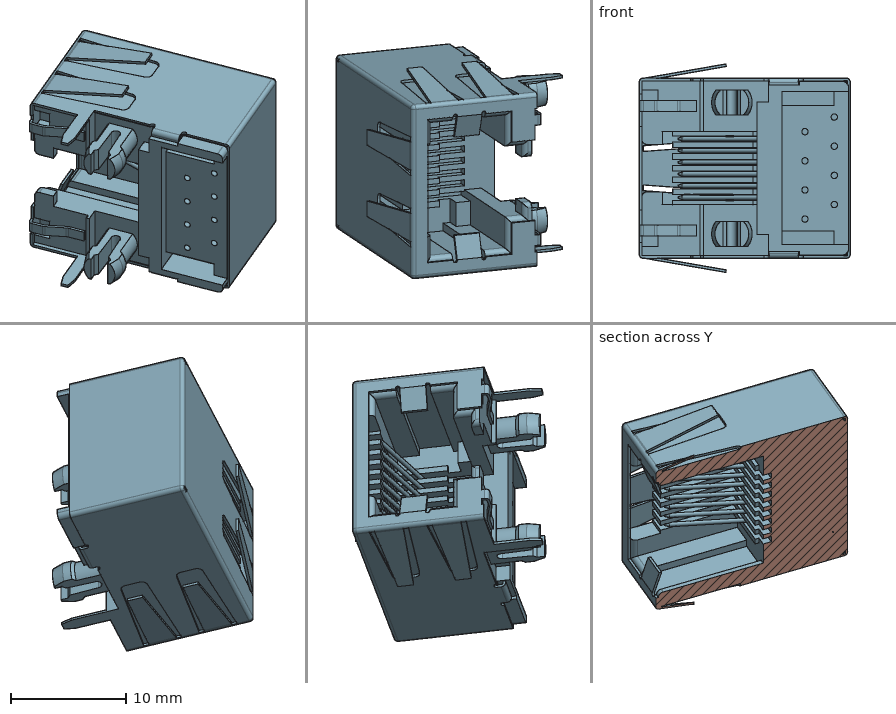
import cadquery as cq
import math


length = 18.36
half_height = 7.84
sheet = 0.24
bend_radius = 0.37
side_floor = -10.55
front_floor = -11.7
post_start = 4.46
post_end = 5.58
post_tip = -15.88
post_taper = 1.01
post_tip_inset = 0.24

wing_bend = 0.45
wing_end = 7.58
wing_rise = 1.23
wing_root_half = 1.27
wing_tip_half = 0.7
window_start = 0.37
window_end = 8.2
window_root_half = 1.75
window_tip_half = 1.18
window_radius = 0.55
wing_y_positions = (-3.21, -8.34)
wing_z_positions = (-3.21, 3.21)

inner_half = half_height - sheet
peg_floor = -10.47
nose_floor = -11.3
rib_start = 5.29
rear_floor = -11.73
rear_start = 10.25
rear_shoulder = 11.24
rear_shoulder_half = 5.75
rear_half = 7.53
rear_end = 18.2
rear_corner = 0.45

mouth_round = 0.45
select_margin = 0.02
cavity_top = -1.95
cavity_bottom = -8.9
cavity_half = 5.99
latch_half = 3.18
latch_bottom = -10.48
lip_half = 2.05
lip_end = 2.02
channel_top = -3.9
channel_bottom = -6.92
channel_half = 6.68

pocket_end = 1.65
pocket_floor = -10.1
pocket_outer = 6.8
spring_outer = 5.9
spring_inner = 4.94

contact_count = 8
contact_span = 7.15
contact_pitch = contact_span / (contact_count - 1)
contact_diameter = 0.4
slot_width = 0.53
comb_start = 2.9
comb_half = 4.17
slot_end = 11.02
contact_start = (3.41, -1.7)
contact_end = (11.38, -4.48)
contact_tip_length = 0.4
contact_tip_inset = 0.13

peg_x = 8.06
peg_z = 5.71
peg_half_width = 1.08
peg_tip = -15.25


def block(x0, x1, y0, y1, z0, z1):
    """Box between two opposite corners."""
    return cq.Workplane("XY").box(x1 - x0, y1 - y0, z1 - z0, centered=False).translate((x0, y0, z0))


def slab(x0, x1, y0, y1, half):
    """Box centred on Z = 0."""
    return block(x0, x1, y0, y1, -half, half)


def pair(shape):
    """The shape together with its mirror image in Z = 0."""
    return shape.union(shape.mirror("XY"))


def mouth_cavity():
    """T-shaped passage for the plug and its latch."""
    upper = [
        (cavity_top, cavity_half),
        (cavity_bottom, cavity_half),
        (cavity_bottom, latch_half),
        (latch_bottom, latch_half),
        (latch_bottom, lip_half),
        (rear_floor, lip_half),
    ]
    lower = [(y, -z) for y, z in reversed(upper)]
    outline = cq.Workplane("YZ").polyline(upper + lower).close()
    return outline.extrude(rear_start - sheet).translate((sheet, 0, 0))


def front_housing():
    """Housing around the mouth and above the pegs."""
    body = slab(sheet, length - sheet, peg_floor, -sheet, inner_half)
    body = body.edges(">X and |Y").fillet(rear_corner)
    body = body.union(slab(sheet, post_end, nose_floor, -sheet, inner_half))
    body = body.cut(mouth_cavity())
    mouth = cq.selectors.BoxSelector(
        (sheet - select_margin, nose_floor + select_margin, -cavity_half - select_margin),
        (sheet + select_margin, cavity_top + select_margin, cavity_half + select_margin),
    )
    body = body.edges(mouth).fillet(mouth_round)

    rib = block(rib_start, post_end, front_floor, peg_floor, latch_half, inner_half)
    body = body.union(pair(rib))
    body = body.cut(slab(lip_end, rear_start, front_floor, latch_bottom, latch_half))
    body = body.cut(slab(sheet, rear_start, channel_bottom, channel_top, channel_half))
    body = body.cut(pair(block(sheet, pocket_end, nose_floor, pocket_floor, spring_inner, pocket_outer)))
    return body


def rear_block():
    """Insert holding the pins, with a stepped front and a recessed board face."""
    body = slab(rear_shoulder, rear_end, rear_floor, peg_floor, rear_half)
    body = body.edges(">X and |Y").fillet(rear_corner)
    body = body.union(slab(rear_start, rear_shoulder, rear_floor, peg_floor, rear_shoulder_half))
    return body


tongue_start = 11.3
tongue_end = 13.85
tongue_seat_half = 7.23
tongue_seat_end = 13.94
recess_start = 12.41
recess_floor = -10.69
recess_half = 6.65
pit_end = 16.95
pit_inner = 5.45
pit_floor = -9.18
hole_diameter = 0.55
hole_depth = 0.73
hole_rows = ((14.41, 3.18), (16.96, 4.45))
hole_spacing = 2.53
holes_per_row = 4


def board_face_cuts():
    """Recess, side pits, pin holes and tongue seats in the rear block."""
    cuts = slab(recess_start, length, rear_floor, recess_floor, recess_half)
    cuts = cuts.union(pair(block(recess_start, pit_end, rear_floor, pit_floor, pit_inner, recess_half)))
    for x, top_z in hole_rows:
        for i in range(holes_per_row):
            hole = cq.Workplane("XZ").circle(hole_diameter / 2).extrude(-hole_depth)
            cuts = cuts.union(hole.translate((x, recess_floor, top_z - i * hole_spacing)))
    seat = block(rear_shoulder, tongue_seat_end, rear_floor, side_floor, tongue_seat_half, half_height)
    return cuts.union(pair(seat))


step_start = 9.88
step_bottom = -6.46
step_half = 4.37
stop_start = 8.81
stop_top = -7.58
stop_inner = 3.84


def rear_steps():
    """Step high on the back wall and two plug stops low in its corners."""
    step = slab(step_start, rear_start, step_bottom, cavity_top, step_half)
    stop = block(stop_start, rear_start, cavity_bottom, stop_top, stop_inner, cavity_half)
    return step.union(pair(stop))


contact_levels = [i * contact_pitch - contact_span / 2 for i in range(contact_count)]


def comb_cuts():
    """Contact slots and the clearance in front of the comb."""
    cuts = slab(sheet, comb_start, cavity_top, -sheet, comb_half)
    for z in contact_levels:
        slot = slab(comb_start, slot_end, cavity_bottom, -sheet, slot_width / 2)
        cuts = cuts.union(slot.translate((0, 0, z)))
    return cuts


def contacts():
    """Sloping round contact wires with blunt tapered tips."""
    run = contact_end[0] - contact_start[0]
    drop = contact_end[1] - contact_start[1]
    slope = math.degrees(math.atan2(drop, run))
    wire = cq.Workplane("YZ").circle(contact_diameter / 2).extrude(math.hypot(run, drop))
    wire = wire.faces("<X").chamfer(contact_tip_length, contact_tip_inset)
    wire = wire.rotate((0, 0, 0), (0, 0, 1), slope).translate((*contact_start, 0))
    wires = cq.Workplane("XY")
    for z in contact_levels:
        wires = wires.add(wire.translate((0, 0, z)))
    return wires.combine()


peg_radius = 1.55
barb_radius = 1.76
peg_end_radius = 1.47
peg_neck = -13.18
barb_top = -13.48
barb_bottom = -14.21
peg_slot_top = -11.24
peg_slot_half = 0.4
peg_slot_foot_half = 0.48
peg_slot_foot = -14.32
peg_flare = -14.6
peg_flare_half = 0.77


def peg():
    """Split snap peg: a barbed round pin with two flats and a slot."""
    profile = cq.Workplane("XY").polyline([
        (0, peg_floor),
        (peg_radius, peg_floor),
        (peg_radius, peg_neck),
        (barb_radius, barb_top),
        (barb_radius, barb_bottom),
        (peg_end_radius, peg_tip),
        (0, peg_tip),
    ]).close()
    pin = profile.revolve(360, (0, 0, 0), (0, 1, 0))
    pin = pin.intersect(slab(-barb_radius, barb_radius, peg_tip, peg_floor, peg_half_width))
    arc_end = peg_slot_top - peg_slot_half
    slot = (
        cq.Workplane("XY")
        .moveTo(-peg_slot_half, arc_end)
        .threePointArc((0, peg_slot_top), (peg_slot_half, arc_end))
        .lineTo(peg_slot_foot_half, peg_slot_foot)
        .lineTo(peg_flare_half, peg_flare)
        .lineTo(peg_flare_half, peg_tip)
        .lineTo(-peg_flare_half, peg_tip)
        .lineTo(-peg_flare_half, peg_flare)
        .lineTo(-peg_slot_foot_half, peg_slot_foot)
        .close()
        .extrude(peg_half_width, both=True)
    )
    return pin.cut(slot).translate((peg_x, 0, peg_z))


def window():
    """Cutout around a wing, with the outer sheet face at Z = 0."""
    cut = cq.Workplane("XY").polyline([
        (window_start, -window_root_half),
        (window_end, -window_tip_half),
        (window_end, window_tip_half),
        (window_start, window_root_half),
    ]).close().extrude(-sheet)
    return cut.edges("|Z and >X").fillet(window_radius)


def wing():
    """Tapered wing bent outward from the sheet, whose outer face is at Z = 0."""
    angle = math.atan2(wing_rise, wing_end - wing_bend)
    across = sheet * math.sin(angle)
    side = cq.Workplane("XZ").polyline([
        (window_start, 0),
        (wing_bend, 0),
        (wing_end - across, wing_rise),
        (wing_end, wing_rise - sheet * math.cos(angle)),
        (wing_bend + across, -sheet),
        (window_start, -sheet),
    ]).close().extrude(wing_root_half, both=True)
    plan = cq.Workplane("XY").polyline([
        (window_start, -wing_root_half),
        (wing_bend, -wing_root_half),
        (wing_end, -wing_tip_half),
        (wing_end, wing_tip_half),
        (wing_bend, wing_root_half),
        (window_start, wing_root_half),
    ]).close().extrude(2 * wing_rise, both=True)
    return side.intersect(plan)


def on_shell(shape):
    """Copies of a wing or window at every place on the top, bottom and back."""
    placed = cq.Workplane("XY")
    for y in wing_y_positions:
        top = shape.translate((0, y, half_height))
        placed = placed.add(top).add(top.mirror("XY"))
    for z in wing_z_positions:
        placed = placed.add(shape.rotate((0, 0, 0), (1, 0, 0), -90).translate((0, 0, z)))
    return placed.combine()


opening_top = cavity_top + mouth_round
opening_bottom = cavity_bottom - mouth_round
opening_half = cavity_half + mouth_round
plate_slot_half = latch_half + mouth_round
plate_edge = -11.51
relief_half = 6.68
relief_width = 0.35
relief_round = 0.17
corner_gap_start = 17.57
corner_gap_end = 18.08
corner_gap_inner = 7.38
tab_top = -4.25
tab_bottom = -6.55
tab_tip_half = 4.42
tab_lean = 0.68
notch_radius = 0.22
notch_inset = 0.22


def shell_case():
    """Folded sheet box, open toward the board, with the plug opening."""
    case = slab(0, length, front_floor - sheet, 0, half_height)
    case = case.faces("not <Y").edges("not <Y").fillet(bend_radius)
    case = case.cut(slab(sheet, length - sheet, front_floor - sheet, -sheet, inner_half))
    case = case.cut(slab(0, length, front_floor - sheet, front_floor, half_height))
    case = case.cut(slab(post_end, length, front_floor, side_floor, half_height))
    case = case.cut(slab(0, sheet, opening_bottom, opening_top, opening_half))
    case = case.cut(slab(0, sheet, front_floor, opening_bottom, plate_slot_half))
    case = case.cut(slab(0, sheet, front_floor, plate_edge, opening_half))
    for y in (tab_top, tab_bottom - relief_width):
        relief = slab(0, sheet, y, y + relief_width, relief_half).edges("|X").fillet(relief_round)
        case = case.cut(relief)
    gap = block(corner_gap_start, corner_gap_end, -bend_radius, 0, corner_gap_inner, inner_half)
    case = case.cut(pair(gap))
    for x in (tongue_start - notch_inset, tongue_end + notch_inset):
        notch = cq.Workplane("XY").circle(notch_radius).extrude(half_height, both=True)
        notch = notch.translate((x, side_floor, 0)).cut(slab(0, length, front_floor, 0, inner_half))
        case = case.cut(notch)
    return case


def grounding_tab():
    """Tab leaning from the opening edge into the cavity."""
    return (
        cq.Workplane("XY")
        .polyline([
            (0, opening_half),
            (sheet, opening_half),
            (tab_lean + sheet, tab_tip_half),
            (tab_lean, tab_tip_half),
        ])
        .close()
        .extrude(tab_top - tab_bottom)
        .rotate((0, 0, 0), (1, 0, 0), 90)
        .translate((0, tab_top, 0))
    )


def post():
    """Solder post on the edge of the shell side."""
    outline = cq.Workplane("XY").polyline([
        (post_start, front_floor),
        (post_start, post_tip + post_taper),
        (post_start + post_tip_inset, post_tip),
        (post_end - post_tip_inset, post_tip),
        (post_end, post_tip + post_taper),
        (post_end, front_floor),
    ]).close()
    return outline.extrude(sheet).translate((0, 0, inner_half))


tongue_bend = -10.9
tongue_radius = 0.4
tongue_reach = 0.59


def tongue():
    """Tongue of the shell side rolled inward over the rear block."""
    inner_radius = tongue_radius - sheet
    low = tongue_bend - tongue_radius
    corner = half_height - tongue_radius
    diagonal = math.sqrt(0.5)
    return (
        cq.Workplane("YZ")
        .moveTo(side_floor, half_height)
        .lineTo(tongue_bend, half_height)
        .threePointArc(
            (tongue_bend - tongue_radius * diagonal, corner + tongue_radius * diagonal),
            (low, corner),
        )
        .lineTo(low, half_height - tongue_reach)
        .lineTo(low + sheet, half_height - tongue_reach)
        .lineTo(low + sheet, corner)
        .threePointArc(
            (tongue_bend - inner_radius * diagonal, corner + inner_radius * diagonal),
            (tongue_bend, inner_half),
        )
        .lineTo(side_floor, inner_half)
        .close()
        .extrude(tongue_end - tongue_start)
        .translate((tongue_start, 0, 0))
    )


spring_low = -12.15
spring_flat_end = 1.45
spring_slope_end = 3.45
spring_end = 5.0
spring_bend_radius = 0.73


def board_spring():
    """Spring curling from the front plate under the housing."""
    seat = nose_floor - sheet
    bends = cq.selectors.BoxSelector(
        (spring_flat_end - select_margin, spring_low - sheet, -sheet),
        (spring_slope_end + select_margin, peg_floor, inner_half),
    )
    return (
        cq.Workplane("XY")
        .moveTo(0, plate_edge)
        .lineTo(0, spring_low + bend_radius)
        .radiusArc((bend_radius, spring_low), -bend_radius)
        .lineTo(spring_flat_end, spring_low)
        .lineTo(spring_slope_end, seat)
        .lineTo(spring_end, seat)
        .lineTo(spring_end, nose_floor)
        .lineTo(spring_slope_end, nose_floor)
        .lineTo(spring_flat_end, spring_low + sheet)
        .lineTo(bend_radius, spring_low + sheet)
        .radiusArc((sheet, spring_low + bend_radius), bend_radius - sheet)
        .lineTo(sheet, plate_edge)
        .close()
        .extrude(spring_outer - spring_inner)
        .edges("|Z").edges(bends)
        .fillet(spring_bend_radius)
        .translate((0, 0, spring_inner))
    )


housing = front_housing().union(rear_steps()).union(rear_block())
housing = housing.cut(board_face_cuts()).cut(comb_cuts())

shell = shell_case().cut(on_shell(window())).union(on_shell(wing()))
for fitting in (grounding_tab(), post(), tongue(), board_spring()):
    shell = shell.union(pair(fitting))

result = housing.union(contacts()).union(pair(peg())).union(shell)